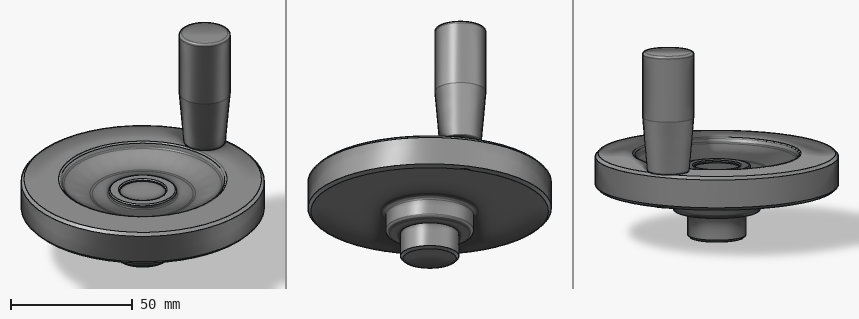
import cadquery as cq

overall_length = 103

spigot_height = 11.0
hub_height = 9.9
rim_height = 14.1
rim_bottom = spigot_height + hub_height
rim_top = rim_bottom + rim_height

rim_radius = 100.0 / 2
rim_chamfer = 1.2
hub_radius = 36 / 2
hub_edge_fillet = 1.5
hub_root_fillet = 2.0
spigot_radius = 24.0 / 2
spigot_chamfer = 1.0

dish_mouth_radius = 34.0
dish_mouth_fillet = 1.0
dish_wall_foot_radius = 32.8
dish_wall_depth = 2.2
dish_wall_fillet = 1.2
dish_floor_radius = 21.2
dish_floor_depth = 6.9
dish_floor_fillet = 2.5
dish_wall_foot = rim_top - dish_wall_depth
dish_floor = rim_top - dish_floor_depth

boss_radius = 27.8 / 2
boss_height = 2.1
boss_chamfer = 0.5
boss_root_fillet = 0.5
bore_radius = 19.0 / 2
bore_depth = 1.0
bore_chamfer = 0.5
boss_top = dish_floor + boss_height
bore_floor = boss_top - bore_depth

grip_radius = 21.0 / 2
grip_height = 50.0
grip_taper_height = 22.6
grip_foot_radius = 8.5
grip_foot_fillet = 0.5
grip_top_fillet = 1.0
grip_offset = overall_length - rim_radius - grip_radius

seat_radius = 6.7
seat_height = 2 * rim_chamfer

LENGTH_TOLERANCE = 0.001


def revolve_outline(points):
    """Turn a closed half-section of (radius, height) points about the Z axis."""
    return cq.Workplane("XZ").polyline(points).close().revolve(360, (0, 0), (0, 1))


def circle_edges(body, radius, height):
    """Pick the circular edges of a turned body with this radius at this height."""

    def matches(edge):
        return (
            edge.geomType() == "CIRCLE"
            and abs(edge.radius() - radius) < LENGTH_TOLERANCE
            and abs(edge.Center().z - height) < LENGTH_TOLERANCE
        )

    return body.newObject([edge for edge in body.edges().vals() if matches(edge)])


def make_wheel():
    """Turn the wheel in one piece, then chamfer and fillet its circular edges."""
    wheel = revolve_outline([
        (0, 0),
        (spigot_radius, 0),
        (spigot_radius, spigot_height),
        (hub_radius, spigot_height),
        (hub_radius, rim_bottom),
        (rim_radius, rim_bottom),
        (rim_radius, rim_top),
        (dish_mouth_radius, rim_top),
        (dish_wall_foot_radius, dish_wall_foot),
        (dish_floor_radius, dish_floor),
        (boss_radius, dish_floor),
        (boss_radius, boss_top),
        (bore_radius, boss_top),
        (bore_radius, bore_floor),
        (0, bore_floor),
    ])
    chamfers = [
        (rim_radius, rim_bottom, rim_chamfer),
        (rim_radius, rim_top, rim_chamfer),
        (spigot_radius, 0, spigot_chamfer),
        (boss_radius, boss_top, boss_chamfer),
        (bore_radius, boss_top, bore_chamfer),
    ]
    fillets = [
        (hub_radius, spigot_height, hub_edge_fillet),
        (hub_radius, rim_bottom, hub_root_fillet),
        (dish_mouth_radius, rim_top, dish_mouth_fillet),
        (dish_wall_foot_radius, dish_wall_foot, dish_wall_fillet),
        (dish_floor_radius, dish_floor, dish_floor_fillet),
        (boss_radius, dish_floor, boss_root_fillet),
    ]
    for radius, height, size in chamfers:
        wheel = circle_edges(wheel, radius, height).chamfer(size)
    for radius, height, size in fillets:
        wheel = circle_edges(wheel, radius, height).fillet(size)
    return wheel


def make_grip():
    """Turn the grip and stand it on the top face of the rim."""
    grip = revolve_outline([
        (0, 0),
        (grip_foot_radius, 0),
        (grip_radius, grip_taper_height),
        (grip_radius, grip_height),
        (0, grip_height),
    ])
    grip = grip.faces(">Z").edges().fillet(grip_top_fillet)
    grip = grip.faces("<Z").edges().fillet(grip_foot_fillet)
    return grip.translate((0, grip_offset, rim_top))


def make_seat():
    """Cylinder flush with the rim underside, filling the chamfer below the grip."""
    seat = cq.Workplane("XY").circle(seat_radius).extrude(seat_height)
    return seat.translate((0, grip_offset, rim_bottom))


result = make_wheel().union(make_seat()).union(make_grip())